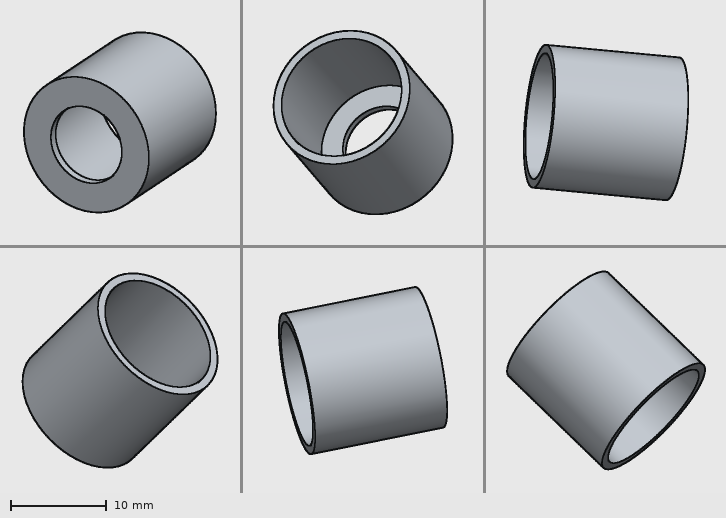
import cadquery as cq

outer_diameter = 15.0
length = 14.25
lip_bore_diameter = 8.5
lip_thickness = 1.0
main_bore_diameter = 13.2


def cylinder(diameter, start, end):
    """Cylinder along Y between two positions."""
    return cq.Workplane("XZ", origin=(0, start, 0)).circle(diameter / 2).extrude(start - end)


front = -length / 2
back = length / 2

sleeve = cylinder(outer_diameter, front, back)
lip_bore = cylinder(lip_bore_diameter, front, back)
main_bore = cylinder(main_bore_diameter, front + lip_thickness, back)

result = sleeve.cut(lip_bore).cut(main_bore)